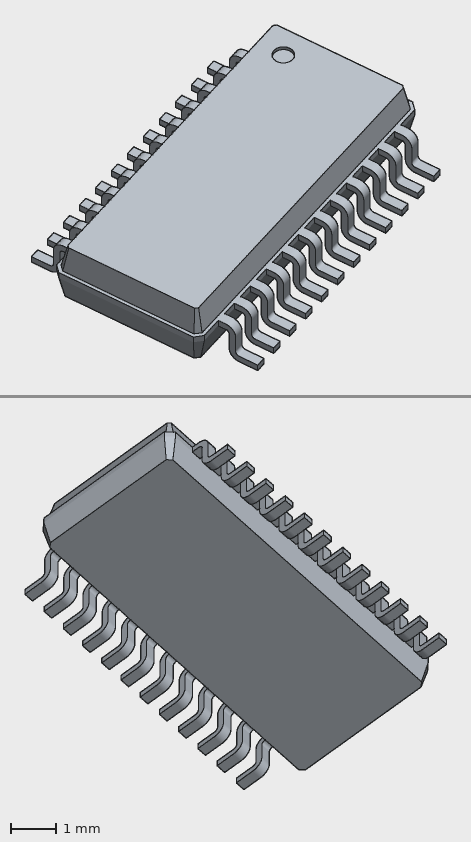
import cadquery as cq
import math

body_length = 8.7
body_width = 3.915
flange_chamfer = 0.17
upper_chamfer = 0.13
taper_inset = 0.14
taper_chamfer_loss = 0.07
upper_step = 0.09
body_top = 1.64
body_bottom = 0.165

leads_per_side = 12
lead_pitch = 0.635
lead_width = 0.25
lead_thickness = 0.17
lead_tip_span = 6.0
lead_shank_span = 4.84
inner_bend_radius = 0.1
lead_top = 0.99

marker_diameter = 0.5
marker_depth = 0.09
marker_x = -1.035
marker_y = 3.44

flange_top = lead_top
flange_bottom = lead_top - lead_thickness


def corner_cut_outline(plane, inset, chamfer):
    """Octagonal outline lying inset from the flange sides, with 45 degree corner cuts."""
    half_width = body_width / 2 - inset
    half_length = body_length / 2 - inset
    return plane.polyline([
        (half_width, half_length - chamfer),
        (half_width - chamfer, half_length),
        (chamfer - half_width, half_length),
        (-half_width, half_length - chamfer),
        (-half_width, chamfer - half_length),
        (chamfer - half_width, -half_length),
        (half_width - chamfer, -half_length),
        (half_width, chamfer - half_length),
    ]).close()


def tapered_block(base_z, end_z, base_inset, base_chamfer):
    """Block narrowing from base_z to end_z, with flat sloping sides and corners."""
    base = corner_cut_outline(cq.Workplane("XY").workplane(offset=base_z), base_inset, base_chamfer)
    end_plane = base.workplane(offset=end_z - base_z)
    end = corner_cut_outline(end_plane, base_inset + taper_inset, base_chamfer - taper_chamfer_loss)
    return end.loft(ruled=True)


def make_body():
    flange_plane = cq.Workplane("XY").workplane(offset=flange_bottom)
    flange = corner_cut_outline(flange_plane, 0, flange_chamfer).extrude(flange_top - flange_bottom)
    lower = tapered_block(flange_bottom, body_bottom, 0, flange_chamfer)
    upper = tapered_block(flange_top, body_top, upper_step, upper_chamfer)
    return flange.union(lower).union(upper)


def make_lead():
    """One lead on the +X side, centred on Y = 0, with its root buried in the body."""
    root_x = body_width / 2 - upper_step - taper_inset
    tip_x = lead_tip_span / 2
    shank_outer_x = lead_shank_span / 2
    shank_inner_x = shank_outer_x - lead_thickness
    outer_bend_radius = inner_bend_radius + lead_thickness

    upper_bend_x = shank_outer_x - outer_bend_radius
    upper_bend_z = lead_top - outer_bend_radius
    lower_bend_x = shank_inner_x + outer_bend_radius
    lower_bend_z = outer_bend_radius
    outer_mid = outer_bend_radius * math.sqrt(0.5)
    inner_mid = inner_bend_radius * math.sqrt(0.5)

    profile = (
        cq.Workplane("XZ")
        .moveTo(root_x, lead_top)
        .lineTo(upper_bend_x, lead_top)
        .threePointArc(
            (upper_bend_x + outer_mid, upper_bend_z + outer_mid),
            (shank_outer_x, upper_bend_z),
        )
        .lineTo(shank_outer_x, lower_bend_z)
        .threePointArc(
            (lower_bend_x - inner_mid, lower_bend_z - inner_mid),
            (lower_bend_x, lead_thickness),
        )
        .lineTo(tip_x, lead_thickness)
        .lineTo(tip_x, 0)
        .lineTo(lower_bend_x, 0)
        .threePointArc(
            (lower_bend_x - outer_mid, lower_bend_z - outer_mid),
            (shank_inner_x, lower_bend_z),
        )
        .lineTo(shank_inner_x, upper_bend_z)
        .threePointArc(
            (upper_bend_x + inner_mid, upper_bend_z + inner_mid),
            (upper_bend_x, flange_bottom),
        )
        .lineTo(root_x, flange_bottom)
        .close()
    )
    return profile.extrude(lead_width / 2, both=True)


def add_leads(body):
    right_lead = make_lead()
    left_lead = right_lead.mirror("YZ")
    first_y = -lead_pitch * (leads_per_side - 1) / 2
    for index in range(leads_per_side):
        offset = (0, first_y + index * lead_pitch, 0)
        body = body.union(right_lead.translate(offset))
        body = body.union(left_lead.translate(offset))
    return body


def cut_marker(body):
    floor = cq.Workplane("XY").workplane(offset=body_top - marker_depth)
    marker = floor.center(marker_x, marker_y).circle(marker_diameter / 2).extrude(marker_depth)
    return body.cut(marker)


result = cut_marker(add_leads(make_body()))